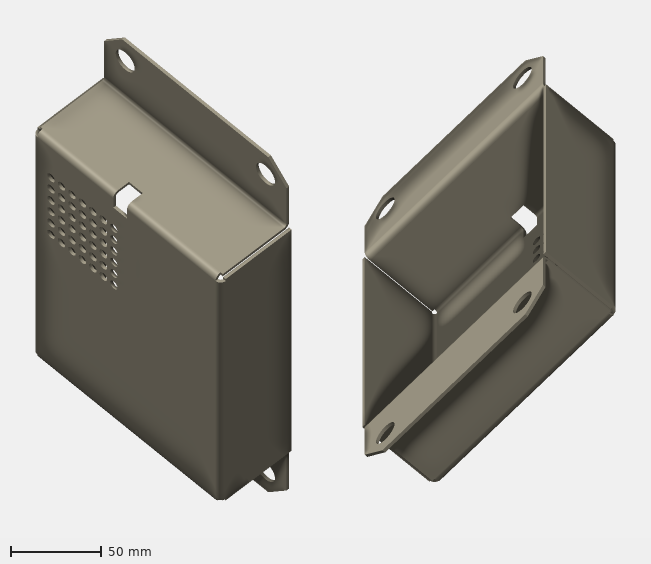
import cadquery as cq
import math

width = 150.0
depth = 55.0
length = 296.0

sheet = 2.0
inner_radius = 2.0
outer_radius = inner_radius + sheet
seam_gap = 0.3
side_wall_setback = 0.3

box_height = 200.0
face_half_x = width / 2 - outer_radius
face_half_z = box_height / 2 - outer_radius
end_wall_width = width - 2 * (sheet + seam_gap)
side_wall_height = box_height - 2 * (sheet + seam_gap)

corner_chamfer = 14.5
mount_hole_diameter = 15.0
mount_hole_spacing_x = 112.0
mount_hole_spacing_z = 262.0

notch_width = 11.0
notch_reach = 12.0
notch_center_x = -5.0

grille_columns = 7
grille_rows = 6
grille_span = 50.0
grille_left_x = -60.0
grille_top_z = 70.0
grille_hole_diameter = 6.0


def quarter_bend(plane, center, direction, bend_length):
    """Quarter ring of sheet in the given plane, extruded equally to both sides of it."""
    cx, cy = center
    sx, sy = direction
    diagonal = math.sqrt(0.5)

    def on_ring(radius, x_part, y_part):
        return (cx + sx * radius * x_part, cy + sy * radius * y_part)

    return (
        cq.Workplane(plane)
        .moveTo(*on_ring(outer_radius, 1, 0))
        .threePointArc(on_ring(outer_radius, diagonal, diagonal), on_ring(outer_radius, 0, 1))
        .lineTo(*on_ring(inner_radius, 0, 1))
        .threePointArc(on_ring(inner_radius, diagonal, diagonal), on_ring(inner_radius, 1, 0))
        .close()
        .extrude(bend_length / 2, both=True)
    )


def block(x_range, y_range, z_range):
    """Axis-aligned block between the given limits."""
    size = [high - low for low, high in (x_range, y_range, z_range)]
    corner = (x_range[0], y_range[0], z_range[0])
    return cq.Workplane("XY").box(*size, centered=False).translate(corner)


def side_wall():
    """Right-hand side wall with its bend to the front face."""
    bend = quarter_bend("XY", (face_half_x, outer_radius), (1, -1), 2 * face_half_z)
    wall = block(
        (width / 2 - sheet, width / 2),
        (outer_radius, depth - side_wall_setback),
        (-side_wall_height / 2, side_wall_height / 2),
    )
    return bend.union(wall)


def end_wall():
    """Upper end wall with its bend to the front face and its outward mounting flange."""
    across = (-end_wall_width / 2, end_wall_width / 2)
    wall_top = box_height / 2
    flange_bend_y = depth - outer_radius
    flange_bend_z = wall_top + inner_radius

    front_bend = quarter_bend("YZ", (outer_radius, face_half_z), (-1, 1), 2 * face_half_x)
    wall = block(across, (outer_radius, flange_bend_y), (wall_top - sheet, wall_top))
    flange_bend = quarter_bend("YZ", (flange_bend_y, flange_bend_z), (1, -1), end_wall_width)
    flange = (
        block(across, (depth - sheet, depth), (flange_bend_z, length / 2))
        .edges("|Y and >Z")
        .chamfer(corner_chamfer)
    )
    return front_bend.union(wall).union(flange_bend).union(flange)


def drill_along_y(body, centers, diameter):
    """Cut round holes right through the body along Y at the given (x, z) centres."""
    drills = (
        cq.Workplane("XZ")
        .pushPoints(centers)
        .circle(diameter / 2)
        .extrude(-depth)
    )
    return body.cut(drills)


body = block((-face_half_x, face_half_x), (0, sheet), (-face_half_z, face_half_z))
right_wall = side_wall()
top_wall = end_wall()
for wall in (right_wall, right_wall.mirror("YZ"), top_wall, top_wall.mirror("XY")):
    body = body.union(wall)

mount_hole_centers = [
    (x_sign * mount_hole_spacing_x / 2, z_sign * mount_hole_spacing_z / 2)
    for x_sign in (-1, 1)
    for z_sign in (-1, 1)
]
body = drill_along_y(body, mount_hole_centers, mount_hole_diameter)

column_pitch = grille_span / (grille_columns - 1)
row_pitch = grille_span / (grille_rows - 1)
grille_centers = [
    (grille_left_x + column * column_pitch, grille_top_z - row * row_pitch)
    for column in range(grille_columns)
    for row in range(grille_rows)
]
body = drill_along_y(body, grille_centers, grille_hole_diameter)

notch = block(
    (notch_center_x - notch_width / 2, notch_center_x + notch_width / 2),
    (0, notch_reach),
    (box_height / 2 - notch_reach, box_height / 2),
)
result = body.cut(notch)